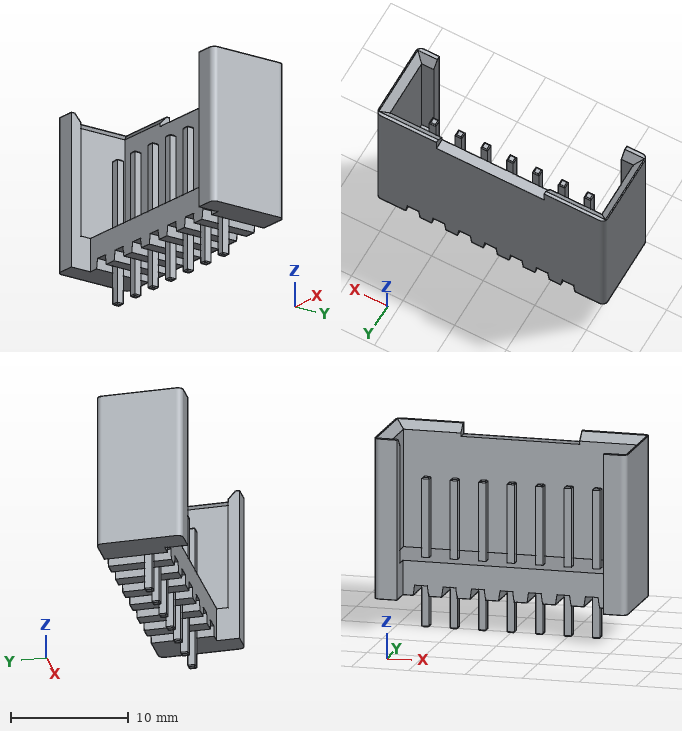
import cadquery as cq


LENGTH = 22.2
DEPTH = 7.5
HEIGHT = 14.0
CORNER_RADIUS = 0.5
END_WALL = 0.85
LONG_WALL = 1.0
FLOOR = 3.02

LEAD_IN_HEIGHT = 0.7
END_LAND = 0.122
BACK_LAND = 0.3
FRONT_LAND = 0.35

FRONT_CORNER = 2.02
FRONT_RECESS = 2.0
BACK_NOTCH_LENGTH = 10.43
BACK_NOTCH_HEIGHT = 1.0

PIN_COUNT = 7
PIN_ROW = 15.0
PIN_PITCH = PIN_ROW / (PIN_COUNT - 1)
PIN_WIDTH = 0.65
PIN_TOP = 10.0
PIN_TAIL = 3.09
PIN_CHAMFER = 0.1

RELIEF_HEIGHT = 0.9
RELIEF_TOP_LENGTH = 1.1
RELIEF_BOTTOM_LENGTH = 1.38

FRONT_Y = -DEPTH / 2
BACK_Y = DEPTH / 2
PIN_POSITIONS = [(i - (PIN_COUNT - 1) / 2) * PIN_PITCH for i in range(PIN_COUNT)]


def make_shell():
    """Solid outer block with rounded vertical corners."""
    block = cq.Workplane("XY").box(LENGTH, DEPTH, HEIGHT, centered=(True, True, False))
    return block.edges("|Z").fillet(CORNER_RADIUS)


def make_cavity():
    """Straight pocket down to the floor, flaring out at the mouth."""
    pocket_length = LENGTH - 2 * END_WALL
    pocket_depth = DEPTH - 2 * LONG_WALL
    mouth_length = LENGTH - 2 * END_LAND
    mouth_depth = DEPTH - FRONT_LAND - BACK_LAND
    mouth_shift = (FRONT_LAND - BACK_LAND) / 2

    pocket = (
        cq.Workplane("XY")
        .box(pocket_length, pocket_depth, HEIGHT - FLOOR, centered=(True, True, False))
        .translate((0, 0, FLOOR))
    )
    lead_in = (
        cq.Workplane("XY", origin=(0, 0, HEIGHT - LEAD_IN_HEIGHT))
        .rect(pocket_length, pocket_depth)
        .workplane(offset=LEAD_IN_HEIGHT)
        .center(0, mouth_shift)
        .rect(mouth_length, mouth_depth)
        .loft(ruled=True)
    )
    return pocket.union(lead_in)


def make_front_opening():
    """Full-height gap between the two front corners."""
    opening = cq.Workplane("XY").box(
        LENGTH - 2 * FRONT_CORNER, FRONT_RECESS, HEIGHT, centered=(True, False, False)
    )
    return opening.translate((0, FRONT_Y, 0))


def make_back_notch():
    """Shallow notch in the top edge of the back wall."""
    notch = cq.Workplane("XY").box(
        BACK_NOTCH_LENGTH, LONG_WALL, BACK_NOTCH_HEIGHT, centered=(True, False, False)
    )
    return notch.translate((0, BACK_Y - LONG_WALL, HEIGHT - BACK_NOTCH_HEIGHT))


def make_relief(x):
    """Trapezoidal notch through the whole depth of the floor's underside."""
    half_bottom = RELIEF_BOTTOM_LENGTH / 2
    half_top = RELIEF_TOP_LENGTH / 2
    return (
        cq.Workplane("XZ", origin=(x, BACK_Y, 0))
        .moveTo(-half_bottom, 0)
        .lineTo(-half_top, RELIEF_HEIGHT)
        .lineTo(half_top, RELIEF_HEIGHT)
        .lineTo(half_bottom, 0)
        .close()
        .extrude(DEPTH)
    )


def make_pin(x):
    """Square pin with chamfered ends."""
    pin = cq.Workplane("XY").box(
        PIN_WIDTH, PIN_WIDTH, PIN_TOP + PIN_TAIL, centered=(True, True, False)
    )
    pin = pin.faces("<Z or >Z").chamfer(PIN_CHAMFER)
    return pin.translate((x, 0, -PIN_TAIL))


result = make_shell().cut(make_cavity()).cut(make_front_opening()).cut(make_back_notch())
for pin_x in PIN_POSITIONS:
    result = result.cut(make_relief(pin_x)).union(make_pin(pin_x))